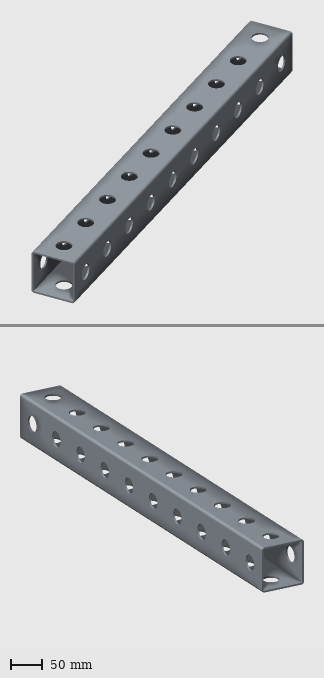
import cadquery as cq

length = 762.0
side = 76.0
wall = 3.0
outer_radius = 4.5

hole_diameter = 27.0
hole_count = 10
hole_pitch = length / hole_count


def square_bar(width):
    """Square bar along Y, centred on the origin."""
    return cq.Workplane("XY").box(width, length, width)


def hole_cutters(plane):
    """Row of round cutters along Y, passing through both opposite sides."""
    first = -(hole_count - 1) * hole_pitch / 2
    along_y = [first + i * hole_pitch for i in range(hole_count)]
    points = [(y, 0) if plane == "YZ" else (0, y) for y in along_y]
    return cq.Workplane(plane).pushPoints(points).circle(hole_diameter / 2).extrude(side, both=True)


tube = square_bar(side).edges("|Y").fillet(outer_radius).cut(square_bar(side - 2 * wall))
result = tube.cut(hole_cutters("XY")).cut(hole_cutters("YZ"))